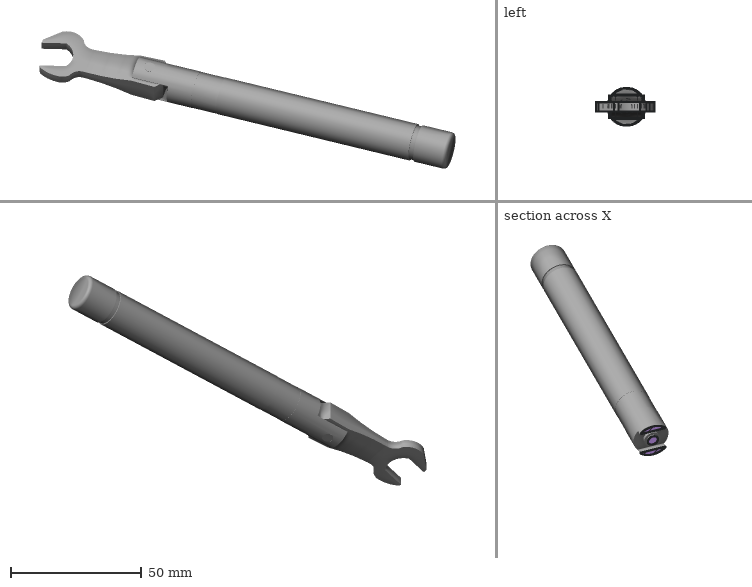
import cadquery as cq

LENGTH = 165.6
CUT_MARGIN = 1.7

HANDLE_DIAMETER = 14.4
HANDLE_RADIUS = HANDLE_DIAMETER / 2
FORK_START = 39.0
FORK_END = 53.5
FORK_HALF_WIDTH = 5.3
SLOT_HALF_HEIGHT = 4.6
BAND_START = 63.3
BAND_END = 73.4
BAND_DEPTH = 0.08
GROOVE_START = 150.7
GROOVE_END = 152.7
GROOVE_DEPTH = 0.5
END_FILLET = 1.3

HEAD_HALF_THICKNESS = 1.8
NECK_START = 20.5
NECK_END = 39.1
NECK_HALF_WIDTH = 5.8
BLOCK_HALF_THICKNESS = 4.3
BLOCK_HALF_WIDTH = 6.8
BLOCK_END = 51.0
BLOCK_CHAMFER = 2.7

PIN_X = 44.4
PIN_RADIUS = 2.2
PIN_RECESS = 0.2
PLUNGER_RADIUS = 3.1
PLUNGER_START = 52.3
PLUNGER_NOSE_RADIUS = 2.2
PLUNGER_NOSE_START = 50.5
PLUNGER_SEAT = 1.7


def rod_x(start, end, radius):
    """Round rod on the handle axis."""
    return cq.Workplane("YZ", origin=(start, 0, 0)).circle(radius).extrude(end - start)


def box_x(start, end, half_width, half_height):
    """Box centred on the handle axis."""
    return (
        cq.Workplane("YZ", origin=(start, 0, 0))
        .rect(2 * half_width, 2 * half_height)
        .extrude(end - start)
    )


def ring_cut(start, end, depth):
    """Ring to remove from the handle surface."""
    return rod_x(start, end, HANDLE_RADIUS + CUT_MARGIN).cut(rod_x(start, end, HANDLE_RADIUS - depth))


def make_handle():
    handle = rod_x(FORK_START, LENGTH, HANDLE_RADIUS).faces(">X").edges().fillet(END_FILLET)
    handle = handle.cut(ring_cut(BAND_START, BAND_END, BAND_DEPTH))
    handle = handle.cut(ring_cut(GROOVE_START, GROOVE_END, GROOVE_DEPTH))
    fork_space = box_x(FORK_START, FORK_END, HANDLE_RADIUS + CUT_MARGIN, HANDLE_RADIUS + CUT_MARGIN)
    fork = box_x(FORK_START, FORK_END, FORK_HALF_WIDTH, HANDLE_RADIUS + CUT_MARGIN)
    slot = box_x(FORK_START, FORK_END, HANDLE_RADIUS + CUT_MARGIN, SLOT_HALF_HEIGHT)
    return handle.cut(fork_space.cut(fork)).cut(slot)


def make_jaw():
    """Open-ended jaw, its mouth tilted about 15 degrees from the handle axis."""
    return (
        cq.Workplane("XY", origin=(0, 0, -HEAD_HALF_THICKNESS))
        .moveTo(NECK_START, NECK_HALF_WIDTH)
        .lineTo(19.5, NECK_HALF_WIDTH)
        .threePointArc((16.7, 6.8), (15.0, 9.1))
        .threePointArc((11.0, 11.6), (6.0, 10.8))
        .lineTo(0, 4.8)
        .lineTo(0, 3.1)
        .lineTo(9.1, 5.6)
        .threePointArc((13.5, 0.0), (12.3, -5.1))
        .lineTo(2.5, -7.8)
        .lineTo(3.1, -8.8)
        .threePointArc((6.6, -10.3), (10.8, -10.8))
        .threePointArc((13.3, -10.3), (15.0, -9.0))
        .threePointArc((16.7, -6.6), (19.5, -NECK_HALF_WIDTH))
        .lineTo(NECK_START, -NECK_HALF_WIDTH)
        .close()
        .extrude(2 * HEAD_HALF_THICKNESS)
    )


def make_neck_and_block():
    """Shank flaring in thickness along tangent arcs and in width along straight sides."""
    run = NECK_END - NECK_START
    rise = BLOCK_HALF_THICKNESS - HEAD_HALF_THICKNESS
    middle = (NECK_START + run / 2, HEAD_HALF_THICKNESS + rise / 4)
    profile = (
        cq.Workplane("XZ")
        .moveTo(NECK_START, HEAD_HALF_THICKNESS)
        .threePointArc(middle, (NECK_END, BLOCK_HALF_THICKNESS))
        .lineTo(BLOCK_END, BLOCK_HALF_THICKNESS)
        .lineTo(BLOCK_END, -BLOCK_HALF_THICKNESS)
        .lineTo(NECK_END, -BLOCK_HALF_THICKNESS)
        .threePointArc((middle[0], -middle[1]), (NECK_START, -HEAD_HALF_THICKNESS))
        .close()
        .extrude(BLOCK_HALF_WIDTH + CUT_MARGIN, both=True)
    )
    chamfer_start = BLOCK_END - BLOCK_CHAMFER
    chamfered_half_width = BLOCK_HALF_WIDTH - BLOCK_CHAMFER
    plan = (
        cq.Workplane("XY")
        .polyline([
            (NECK_START, NECK_HALF_WIDTH),
            (chamfer_start, BLOCK_HALF_WIDTH),
            (BLOCK_END, chamfered_half_width),
            (BLOCK_END, -chamfered_half_width),
            (chamfer_start, -BLOCK_HALF_WIDTH),
            (NECK_START, -NECK_HALF_WIDTH),
        ])
        .close()
        .extrude(BLOCK_HALF_THICKNESS + CUT_MARGIN, both=True)
    )
    return profile.intersect(plan)


def make_plunger():
    """Stepped detent plunger bridging the slot bottom and the block."""
    body = rod_x(PLUNGER_START, FORK_END + PLUNGER_SEAT, PLUNGER_RADIUS)
    return body.union(rod_x(PLUNGER_NOSE_START, PLUNGER_START, PLUNGER_NOSE_RADIUS))


def add_pivot_pin(body):
    """Flat-ended pin through both tines, sunk slightly in its hole."""
    hole = (
        cq.Workplane("XY").center(PIN_X, 0).circle(PIN_RADIUS)
        .extrude(HANDLE_RADIUS + CUT_MARGIN, both=True)
    )
    pin = (
        cq.Workplane("XY").center(PIN_X, 0).circle(PIN_RADIUS)
        .extrude(HANDLE_RADIUS - PIN_RECESS, both=True)
    )
    return body.cut(hole).union(pin)


wrench = make_jaw().union(make_neck_and_block()).union(make_handle()).union(make_plunger())
result = add_pivot_pin(wrench)